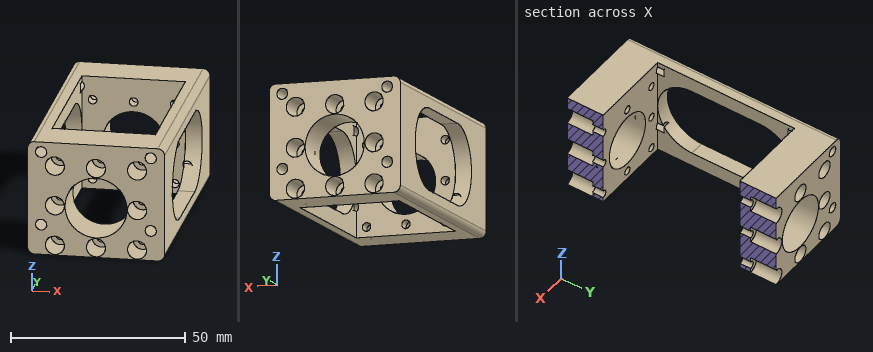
import cadquery as cq

WIDTH = 40.0
LENGTH = 73.5
HEIGHT = 34.0
CORNER_RADIUS = 2.0

WINDOW_WIDTH = 30.1
OPENING_LENGTH = 48.0
SLOT_HEIGHT = 24.0

BORE_DIAMETER = 18.0
BORE_HEIGHT = 15.0
SCREW_PITCH = 12.0
SCREW_DIAMETER = 2.5
COUNTERBORE_DIAMETER = 5.5
COUNTERBORE_DEPTH = 9.0

CORNER_HOLE_DIAMETER = 3.2
CORNER_HOLE_DEPTH = 15.0
CORNER_HOLE_SPACING_X = 32.0
CORNER_HOLE_SPACING_Z = 22.0
CORNER_HOLE_TOP_MARGIN = 3.0

CORNER_HOLE_HEIGHT = HEIGHT - CORNER_HOLE_TOP_MARGIN - CORNER_HOLE_SPACING_Z / 2
SCREW_POSITIONS = [
    (column * SCREW_PITCH, BORE_HEIGHT + row * SCREW_PITCH)
    for column in (-1, 0, 1)
    for row in (-1, 0, 1)
    if (column, row) != (0, 0)
]
CORNER_HOLE_POSITIONS = [
    (side * CORNER_HOLE_SPACING_X / 2, CORNER_HOLE_HEIGHT + level * CORNER_HOLE_SPACING_Z / 2)
    for side in (-1, 1)
    for level in (-1, 1)
]


def drill_from_front(positions, diameter, depth):
    """Cylinders along Y that start at the -Y end face."""
    front_face = cq.Workplane("XZ", origin=(0, -LENGTH / 2, 0))
    return front_face.pushPoints(positions).circle(diameter / 2).extrude(-depth)


def drill_from_both_ends(positions, diameter, depth):
    """Matching blind cylinders that start at the two end faces."""
    front_holes = drill_from_front(positions, diameter, depth)
    return front_holes.union(front_holes.mirror("XZ"))


def make_body():
    body = cq.Workplane("XY").box(WIDTH, LENGTH, HEIGHT, centered=(True, True, False))
    return body.edges("|Y").fillet(CORNER_RADIUS)


def make_window():
    return cq.Workplane("XY").rect(WINDOW_WIDTH, OPENING_LENGTH).extrude(HEIGHT)


def make_side_slot():
    side_plane = cq.Workplane("YZ", origin=(0, 0, HEIGHT / 2))
    return side_plane.slot2D(OPENING_LENGTH, SLOT_HEIGHT).extrude(WIDTH / 2, both=True)


result = (
    make_body()
    .cut(make_window())
    .cut(make_side_slot())
    .cut(drill_from_front([(0, BORE_HEIGHT)], BORE_DIAMETER, LENGTH))
    .cut(drill_from_front(SCREW_POSITIONS, SCREW_DIAMETER, LENGTH))
    .cut(drill_from_both_ends(SCREW_POSITIONS, COUNTERBORE_DIAMETER, COUNTERBORE_DEPTH))
    .cut(drill_from_both_ends(CORNER_HOLE_POSITIONS, CORNER_HOLE_DIAMETER, CORNER_HOLE_DEPTH))
)